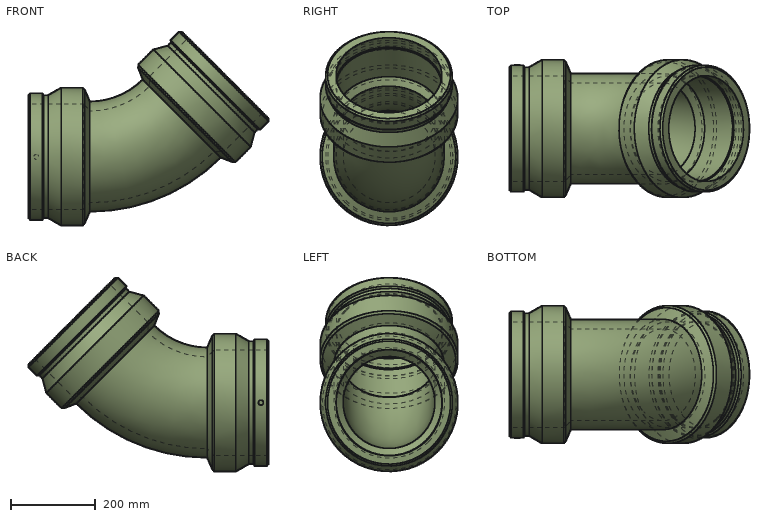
import cadquery as cq

bend_angle = 45.0
bend_radius = 306.5
tube_radius = 130.5
bore_radius = 108.5

band_radius = 163.0
lip_radius = 150.0
neck_radius = 145.5
socket_bore_radius = 125.0
band_edge_radius = 158.0

lip_chamfer = 4.5
lip_end = 33.0
neck_start = 36.5
neck_end = 46.5
band_start = 77.0
band_end = 128.5
band_edge_end = 133.5
socket_length = 145.5
socket_bore_depth = 130.0

groove_start = 33.0
groove_width = 3.5
groove_depth = 1.0

mark_radius = 5.95
mark_position = 18.0
mark_height = 1.0


def revolve_about_x(points):
    profile = cq.Workplane("XY").polyline(points).close()
    return profile.revolve(360, (0, 0, 0), (1, 0, 0))


def socket_body():
    return revolve_about_x([
        (0, 0),
        (0, lip_radius - lip_chamfer),
        (lip_chamfer, lip_radius),
        (lip_end, lip_radius),
        (neck_start, neck_radius),
        (neck_end, neck_radius),
        (band_start, band_radius),
        (band_end, band_radius),
        (band_edge_end, band_edge_radius),
        (socket_length, tube_radius),
        (socket_length, 0),
    ])


def socket_cavity():
    groove_end = groove_start + groove_width
    groove_radius = socket_bore_radius + groove_depth
    return revolve_about_x([
        (0, 0),
        (0, socket_bore_radius),
        (groove_start, socket_bore_radius),
        (groove_start, groove_radius),
        (groove_end, groove_radius),
        (groove_end, socket_bore_radius),
        (socket_bore_depth, socket_bore_radius),
        (socket_length, bore_radius),
        (socket_length, 0),
    ])


def bend(radius):
    """Solid round bend between the inner ends of the two sockets."""
    section = cq.Workplane("YZ", origin=(socket_length, 0, 0)).circle(radius)
    return section.revolve(bend_angle, (0, bend_radius, 0), (-1, bend_radius, 0))


def at_outlet(shape):
    """Mirror a shape at the inlet across the middle plane of the bend."""
    centre = (socket_length, 0, bend_radius)
    flipped = shape.mirror("YZ", (socket_length, 0, 0))
    return flipped.rotate(centre, (centre[0], 1, centre[2]), -bend_angle)


def lip_mark():
    base = cq.Workplane("XZ", origin=(mark_position, lip_radius + mark_height, 0))
    return base.circle(mark_radius).extrude(lip_radius - neck_radius + mark_height)


body = socket_body().union(bend(tube_radius)).union(at_outlet(socket_body()))
body = body.union(lip_mark())
cavity = socket_cavity().union(bend(bore_radius)).union(at_outlet(socket_cavity()))
result = body.cut(cavity)